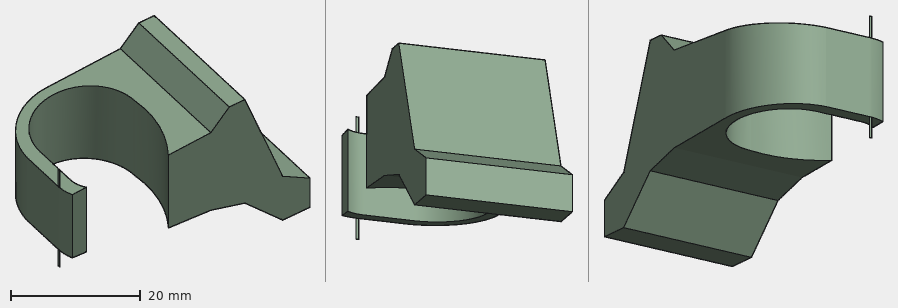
import cadquery as cq
import math

width = 24.0
depth = 44.25
height = 28.57

arm_tip_bottom = 10.6
arm_tip_top = 23.57
arm_root_y = 25.45
arm_root_bottom = 9.05
arm_root_top = 25.1
ridge_front_y = 28.93
ridge_back_y = 31.9
heel_z = 7.2
foot_y = 39.05
foot_top = 9.05
foot_back_top = 6.0

bore_center_x = 10.95
bore_center_y = 11.35
bore_radius = 9.02
bore_front = bore_center_y - bore_radius
bore_back = bore_center_y + bore_radius

arch_mid = (18.8, 19.8)
arch_end_y = 17.4

corner_start_y = 11.45
corner_mid = (3.35, 3.35)
corner_end_x = 10.9

curl_x = 19.0
curl_outer_radius = 7.3
curl_inner_radius = curl_outer_radius - bore_front
tip_x = 22.0

strip_width = 0.45
strip_thickness = 0.05
strip_bottom = heel_z
strip_height = 19.9


def curl_point(radius, x):
    """Point on a curl arc of the given radius."""
    return (x, curl_outer_radius - math.sqrt(radius**2 - (x - curl_x) ** 2))


def side_body():
    """Side profile extruded across the full width."""
    points = [
        (0, arm_tip_bottom),
        (arm_root_y, arm_root_bottom),
        (ridge_back_y, heel_z),
        (foot_y, 0),
        (depth, 0),
        (depth, foot_back_top),
        (foot_y, foot_top),
        (ridge_back_y, height),
        (ridge_front_y, height),
        (arm_root_y, arm_root_top),
        (0, arm_tip_top),
    ]
    return cq.Workplane("YZ").polyline(points).close().extrude(width)


def hook_plan():
    """Plan outline of the hook and block, extruded over the full height."""
    curl_mid_x = (curl_x + tip_x) / 2
    return (
        cq.Workplane("XY")
        .moveTo(0, depth)
        .lineTo(0, corner_start_y)
        .threePointArc(corner_mid, (corner_end_x, 0))
        .lineTo(curl_x, 0)
        .threePointArc(
            curl_point(curl_outer_radius, curl_mid_x),
            curl_point(curl_outer_radius, tip_x),
        )
        .lineTo(*curl_point(curl_inner_radius, tip_x))
        .threePointArc(
            curl_point(curl_inner_radius, curl_mid_x),
            (curl_x, bore_front),
        )
        .lineTo(bore_center_x, bore_front)
        .threePointArc(
            (bore_center_x - bore_radius, bore_center_y),
            (bore_center_x, bore_back),
        )
        .threePointArc(arch_mid, (width, arch_end_y))
        .lineTo(width, depth)
        .close()
        .extrude(height)
    )


def front_strip():
    """Thin strip standing above and below the arm at its front face."""
    strip_front = curl_point(curl_outer_radius, curl_x + strip_width)[1]
    return cq.Workplane("XY").box(
        strip_width, strip_thickness, strip_height, centered=False
    ).translate((curl_x, strip_front, strip_bottom))


result = side_body().intersect(hook_plan()).union(front_strip())